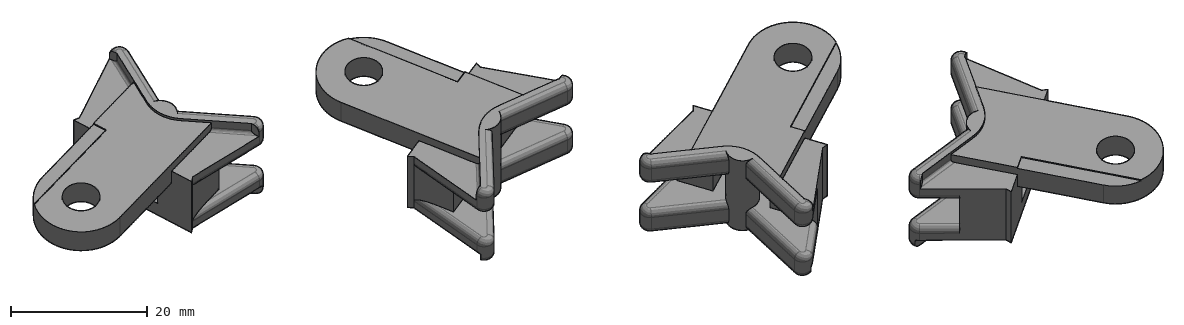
import cadquery as cq
import math

overall_width = 27.0
overall_length = 35.0
overall_height = 15.0

tongue_radius = 7.0
hole_radius = 2.75
tongue_top = 14.55
label_edge_x = -4.75
label_depth = 0.2

flange_thickness = 4.5
rib_height = 2.0
rib_thickness = 2.0
rib_angle = math.radians(30)
side_angle = math.radians(15)
tip_radius = 1.5
end_pad_drop = 0.52
edge_fillet = 1.0
root_fillet = 0.5
apex_radius = 6.0

block_front = 13.0
block_back = 20.45
block_front_half_width = 10.57
notch_y = 13.85
window_half_width = 4.48

pin_radius = 2.5
pin_y = 20.0

plate_top = overall_height - rib_height
upper_flange_bottom = overall_height - flange_thickness
gap_height = overall_height - 2 * flange_thickness

tip_x = overall_width / 2 - tip_radius
tip_y = overall_length - tongue_radius - tip_radius
rib_slope = math.tan(rib_angle)
outer_apex_y = tip_y + tip_radius / math.cos(rib_angle) - tip_x * rib_slope
inner_apex_y = outer_apex_y - rib_thickness / math.cos(rib_angle)
arc_end_x = apex_radius * math.sin(rib_angle)
arc_bottom_y = inner_apex_y + apex_radius * (1 / math.cos(rib_angle) - 1)
side_start_x = tip_x + tip_radius * math.cos(side_angle)
side_start_y = tip_y - tip_radius * math.sin(side_angle)
end_pad_y = tip_y - end_pad_drop

clearance = 3.5
selection_margin = 0.05


def tip_point(angle):
    """Point on the right-hand tip circle."""
    return (tip_x + tip_radius * math.cos(angle), tip_y + tip_radius * math.sin(angle))


def mirrored(point):
    """The same point on the -X side."""
    return (-point[0], point[1])


def side_x(y):
    """Half width of the tapered sides at a given Y."""
    return side_start_x - (side_start_y - y) * math.tan(side_angle)


def rib_inner_y(x):
    """Y of the straight inner face of the V rib."""
    return inner_apex_y + x * rib_slope


def flange_blank():
    """Full-thickness V flange with its free edges rounded on both faces."""
    rib_end = tip_point(math.pi / 2 + rib_angle)
    tip_middle = tip_point(math.pi / 4)
    side_start = (side_start_x, side_start_y)
    tail = (side_x(notch_y), notch_y)
    blank = (
        cq.Workplane("XY")
        .moveTo(0, outer_apex_y)
        .lineTo(*rib_end)
        .threePointArc(tip_middle, side_start)
        .lineTo(*tail)
        .lineTo(*mirrored(tail))
        .lineTo(*mirrored(side_start))
        .threePointArc(mirrored(tip_middle), mirrored(rib_end))
        .close()
        .extrude(flange_thickness)
    )
    return blank.faces("|Z").edges("not <Y").fillet(edge_fillet)


def rib_recess(end_pads):
    """Space in front of the V rib, with the root fillet on its lower edge.

    With end pads, the space stops short of the rib tips, on a face square to Y.
    """
    far_x = overall_width / 2 + clearance
    front_y = -tongue_radius - clearance
    rib_x = (end_pad_y - inner_apex_y) / rib_slope if end_pads else far_x
    rib_end = (rib_x, rib_inner_y(rib_x))
    outer_end = (far_x, rib_end[1])
    arc_end = (arc_end_x, rib_inner_y(arc_end_x))
    outline = cq.Workplane("XY").moveTo(*mirrored(arc_end))
    outline = outline.threePointArc((0, arc_bottom_y), arc_end).lineTo(*rib_end)
    if end_pads:
        outline = outline.lineTo(*outer_end)
    outline = outline.lineTo(far_x, front_y).lineTo(-far_x, front_y)
    if end_pads:
        outline = outline.lineTo(*mirrored(outer_end))
    outline = outline.lineTo(*mirrored(rib_end))
    recess = outline.close().extrude(rib_height + clearance)
    root_edges = cq.selectors.BoxSelector(
        (-rib_x, arc_bottom_y - selection_margin, -selection_margin),
        (rib_x, rib_end[1] - selection_margin, selection_margin),
    )
    return recess.edges(root_edges).fillet(root_fillet)


def flange(end_pads):
    """Flange standing on Z = 0 with its rib pointing up."""
    recess = rib_recess(end_pads).translate((0, 0, flange_thickness - rib_height))
    return flange_blank().cut(recess)


def block():
    """Block with notched front corners and a window along Y.

    Behind the notch the -X side follows the flange taper and the +X side runs straight.
    """
    right_front = (block_front_half_width, block_front)
    right_notch = (side_x(notch_y), notch_y)
    outline = [
        right_front,
        right_notch,
        (side_x(notch_y), block_back),
        (-side_x(block_back), block_back),
        mirrored(right_notch),
        mirrored(right_front),
    ]
    body = (
        cq.Workplane("XY", origin=(0, 0, rib_height))
        .polyline(outline)
        .close()
        .extrude(plate_top - rib_height)
    )
    window = cq.Workplane("XY").box(
        2 * window_half_width, overall_length, gap_height, centered=(True, False, False)
    )
    return body.cut(window.translate((0, 0, flange_thickness)))


def tongue():
    """Round-ended tongue that reaches back to the V rib."""
    back_corner = (tongue_radius, rib_inner_y(tongue_radius))
    arc_end = (arc_end_x, rib_inner_y(arc_end_x))
    return (
        cq.Workplane("XY", origin=(0, 0, upper_flange_bottom))
        .moveTo(-tongue_radius, 0)
        .threePointArc((0, -tongue_radius), (tongue_radius, 0))
        .lineTo(*back_corner)
        .lineTo(*arc_end)
        .threePointArc((0, arc_bottom_y), mirrored(arc_end))
        .lineTo(*mirrored(back_corner))
        .close()
        .extrude(tongue_top - upper_flange_bottom)
    )


def label_recess():
    """Shallow step along the left edge of the tongue."""
    return cq.Workplane("XY").box(
        tongue_radius + label_edge_x,
        tongue_radius + block_front,
        label_depth,
        centered=False,
    ).translate((-tongue_radius, -tongue_radius, tongue_top - label_depth))


def pin():
    """Round pin through both flanges, trimmed flush with the inner faces of the ribs."""
    recess = rib_recess(end_pads=False)
    upper_recess = recess.translate((0, 0, plate_top))
    lower_recess = recess.mirror("XY").translate((0, 0, rib_height))
    cylinder = cq.Workplane("XY").center(0, pin_y).circle(pin_radius).extrude(overall_height)
    return cylinder.cut(upper_recess).cut(lower_recess)


upper_flange = flange(end_pads=True).translate((0, 0, upper_flange_bottom))
lower_flange = flange(end_pads=False).mirror("XY").translate((0, 0, flange_thickness))
tongue_hole = cq.Workplane("XY").circle(hole_radius).extrude(overall_height)

result = (
    block()
    .union(upper_flange)
    .union(lower_flange)
    .union(pin())
    .union(tongue())
    .cut(tongue_hole)
    .cut(label_recess())
)